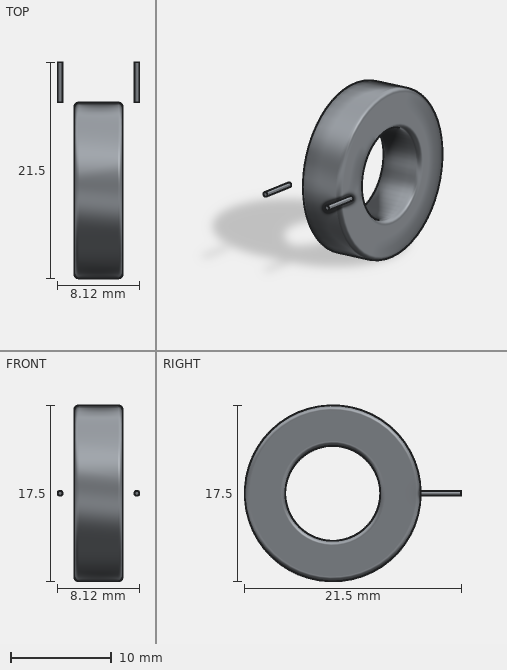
import cadquery as cq

ring_diameter = 17.5
bore_diameter = 9.4
ring_width = 4.83
edge_radius = 0.5

pin_diameter = 0.5
pin_length = 4.0
pin_spacing = 7.62
pin_start_y = ring_diameter / 2


def make_ring():
    """Ring core with all four circular edges rounded."""
    return (
        cq.Workplane("YZ", origin=(-ring_width / 2, 0, 0))
        .circle(ring_diameter / 2)
        .circle(bore_diameter / 2)
        .extrude(ring_width)
        .faces("<X or >X")
        .edges()
        .fillet(edge_radius)
        .solids()
    )


def make_pin(x):
    """Straight round pin running toward +Y at the given X."""
    start = cq.Vector(x, pin_start_y, 0)
    direction = cq.Vector(0, 1, 0)
    return cq.Solid.makeCylinder(pin_diameter / 2, pin_length, start, direction)


ring = make_ring()
pins = [make_pin(side * pin_spacing / 2) for side in (-1, 1)]

result = cq.Compound.makeCompound([ring.val(), *pins])